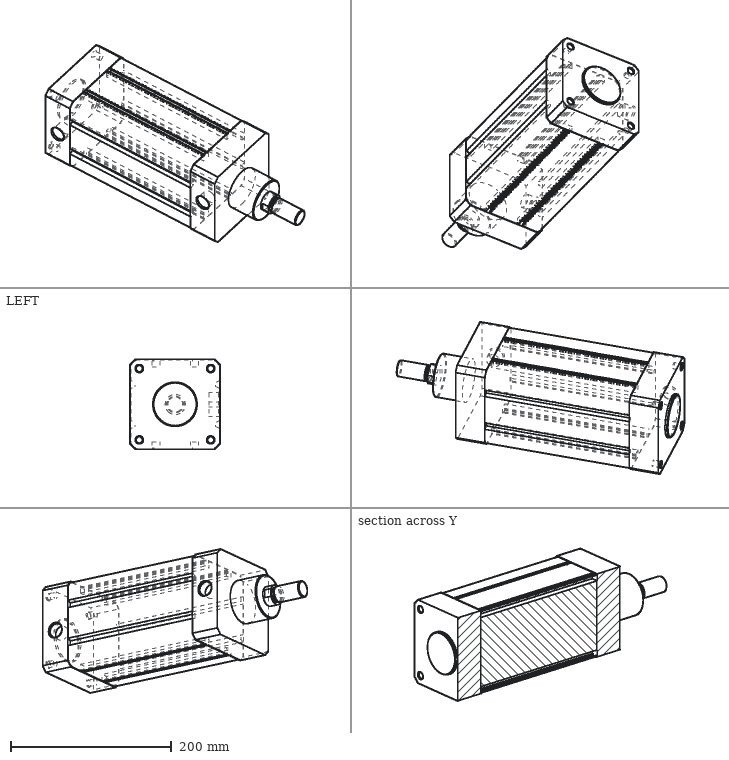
import cadquery as cq

OVERALL_LENGTH = 358.0
REAR_BOSS_LENGTH = 3.5
CAP_LENGTH = 38.0
TUBE_LENGTH = 187.5
FRONT_BOSS_LENGTH = 38.5

REAR_CAP_X = REAR_BOSS_LENGTH
TUBE_X = REAR_CAP_X + CAP_LENGTH
FRONT_CAP_X = TUBE_X + TUBE_LENGTH
FRONT_BOSS_X = FRONT_CAP_X + CAP_LENGTH
ROD_X = FRONT_BOSS_X + FRONT_BOSS_LENGTH

CAP_WIDTH = 112.0
CAP_CORNER_CHAMFER = 6.8
BOSS_DIAMETER = 55.0
BOSS_EDGE_CHAMFER = 1.0
PORT_DIAMETER = 18.0
PORT_MOUTH_DIAMETER = 20.0
PORT_MOUTH_DEPTH = 2.0
PORT_DEPTH = 14.3
PORT_OFFSET = 6.0
SCREW_SPACING = 88.8
SCREW_DIAMETER = 8.0
SCREW_MOUTH_DIAMETER = 10.0
SCREW_MOUTH_DEPTH = 1.0
SCREW_DEPTH = 10.7

TUBE_WIDTH = 110.5
TUBE_CORNER_RADIUS = 10.0
T_SLOT_OFFSET = 24.0
T_SLOT_MOUTH_WIDTH = 5.5
T_SLOT_INNER_WIDTH = 9.5
T_SLOT_LIP = 1.5
T_SLOT_DEPTH = 8.5
SIDE_GROOVE_DEPTH = 5.0
SIDE_GROOVE_INNER = 20.0
SIDE_GROOVE_OUTER = 29.7
SIDE_GROOVE_TAPER = 2.0
SIDE_GROOVE_FLOOR_INNER = SIDE_GROOVE_INNER + SIDE_GROOVE_TAPER
SIDE_GROOVE_FLOOR_OUTER = SIDE_GROOVE_OUTER - SIDE_GROOVE_TAPER

ROD_DIAMETER = 25.0
ROD_SHOULDER_LENGTH = 11.5
WRENCH_FLAT_WIDTH = 23.0
WRENCH_FLAT_START = 2.5
NECK_DIAMETER = 19.0
NECK_LENGTH = 2.5
THREAD_DIAMETER = 20.8
THREAD_LEAD_IN = 1.8
THREAD_END_CHAMFER = 1.0


def yz_plane(x):
    """Sketch plane across the axis: local x is Y, local y is Z, and the normal is +X."""
    return cq.Workplane("YZ", origin=(x, 0, 0))


def disc(x, diameter, length):
    return yz_plane(x).circle(diameter / 2).extrude(length)


def cap_block(x):
    block = yz_plane(x).rect(CAP_WIDTH, CAP_WIDTH).extrude(CAP_LENGTH)
    return block.edges("|X").chamfer(CAP_CORNER_CHAMFER)


def hole_cutter(bore, mouth, start, direction):
    """Blind hole with a tapered mouth; bore and mouth are (diameter, depth) pairs."""
    bore_diameter, bore_depth = bore
    mouth_diameter, mouth_depth = mouth
    mouth_centre = cq.Vector(*start)
    axis = cq.Vector(*direction)
    cylinder = cq.Solid.makeCylinder(bore_diameter / 2, bore_depth, mouth_centre, axis)
    cone = cq.Solid.makeCone(mouth_diameter / 2, bore_diameter / 2, mouth_depth, mouth_centre, axis)
    return cq.Workplane(obj=cylinder.fuse(cone))


def port_cutter(cap_x, z):
    """Air port entering a cap from its -Y face, midway along the cap."""
    start = (cap_x + CAP_LENGTH / 2, -CAP_WIDTH / 2, z)
    bore = (PORT_DIAMETER, PORT_DEPTH)
    mouth = (PORT_MOUTH_DIAMETER, PORT_MOUTH_DEPTH)
    return hole_cutter(bore, mouth, start, (0, 1, 0))


def screw_hole_cutter(y, z):
    """Screw hole entering the rear cap from its -X face."""
    bore = (SCREW_DIAMETER, SCREW_DEPTH)
    mouth = (SCREW_MOUTH_DIAMETER, SCREW_MOUTH_DEPTH)
    return hole_cutter(bore, mouth, (REAR_CAP_X, y, z), (1, 0, 0))


def make_rear_cap():
    boss = disc(0, BOSS_DIAMETER, REAR_BOSS_LENGTH + CAP_LENGTH)
    boss = boss.faces("<X").chamfer(BOSS_EDGE_CHAMFER)
    cap = cap_block(REAR_CAP_X).union(boss)
    cap = cap.cut(port_cutter(REAR_CAP_X, -PORT_OFFSET))
    screw_offset = SCREW_SPACING / 2
    for y in (-screw_offset, screw_offset):
        for z in (-screw_offset, screw_offset):
            cap = cap.cut(screw_hole_cutter(y, z))
    return cap


def make_front_cap():
    boss = disc(FRONT_CAP_X, BOSS_DIAMETER, CAP_LENGTH + FRONT_BOSS_LENGTH)
    boss = boss.faces(">X").chamfer(BOSS_EDGE_CHAMFER)
    cap = cap_block(FRONT_CAP_X).union(boss)
    return cap.cut(port_cutter(FRONT_CAP_X, PORT_OFFSET))


def groove_bar(y, z_top, width, depth):
    """Bar as long as the tube, centred on y, reaching down from z_top by depth."""
    return yz_plane(TUBE_X).center(y, z_top - depth / 2).rect(width, depth).extrude(TUBE_LENGTH)


def t_slot():
    """Groove in the +Z face that widens below a thin lip."""
    face_z = TUBE_WIDTH / 2
    mouth = groove_bar(T_SLOT_OFFSET, face_z, T_SLOT_MOUTH_WIDTH, T_SLOT_DEPTH)
    inner = groove_bar(T_SLOT_OFFSET, face_z - T_SLOT_LIP, T_SLOT_INNER_WIDTH, T_SLOT_DEPTH - T_SLOT_LIP)
    return mouth.union(inner)


def side_groove():
    """Groove in the -Y face that narrows towards its floor."""
    face_y = -TUBE_WIDTH / 2
    floor_y = face_y + SIDE_GROOVE_DEPTH
    outline = [
        (face_y, SIDE_GROOVE_INNER),
        (floor_y, SIDE_GROOVE_FLOOR_INNER),
        (floor_y, SIDE_GROOVE_FLOOR_OUTER),
        (face_y, SIDE_GROOVE_OUTER),
    ]
    return yz_plane(TUBE_X).polyline(outline).close().extrude(TUBE_LENGTH)


def make_tube():
    """Rounded square bar with the same two grooves on each pair of opposite faces."""
    tube = yz_plane(TUBE_X).rect(TUBE_WIDTH, TUBE_WIDTH).extrude(TUBE_LENGTH)
    tube = tube.edges("|X").fillet(TUBE_CORNER_RADIUS)
    for groove, mirror_plane in ((t_slot(), "XZ"), (side_groove(), "XY")):
        face_pair = groove.union(groove.mirror(mirror_plane))
        opposite_pair = face_pair.rotate((0, 0, 0), (1, 0, 0), 180)
        tube = tube.cut(face_pair).cut(opposite_pair)
    return tube


def rod_shoulder():
    """Full-diameter end of the rod, with wrench flats on its -Y and +Y sides."""
    collar = disc(ROD_X, ROD_DIAMETER, WRENCH_FLAT_START)
    flats_x = ROD_X + WRENCH_FLAT_START
    flats_length = ROD_SHOULDER_LENGTH - WRENCH_FLAT_START
    flats_bar = yz_plane(flats_x).rect(WRENCH_FLAT_WIDTH, ROD_DIAMETER).extrude(flats_length)
    return collar.union(disc(flats_x, ROD_DIAMETER, flats_length).intersect(flats_bar))


def rod_thread():
    """Neck that widens through a cone to the thread diameter."""
    neck_radius = NECK_DIAMETER / 2
    thread_radius = THREAD_DIAMETER / 2
    neck_x = ROD_X + ROD_SHOULDER_LENGTH
    cone_x = neck_x + NECK_LENGTH
    half_profile = [
        (neck_x, 0),
        (neck_x, neck_radius),
        (cone_x, neck_radius),
        (cone_x + THREAD_LEAD_IN, thread_radius),
        (OVERALL_LENGTH - THREAD_END_CHAMFER, thread_radius),
        (OVERALL_LENGTH, thread_radius - THREAD_END_CHAMFER),
        (OVERALL_LENGTH, 0),
    ]
    return cq.Workplane("XY").polyline(half_profile).close().revolve(360, (0, 0, 0), (1, 0, 0))


def make_rod():
    return rod_shoulder().union(rod_thread())


rear_cap = make_rear_cap()
tube = make_tube()
front_cap = make_front_cap()
rod = make_rod()

result = cq.Compound.makeCompound([rear_cap.val(), tube.val(), front_cap.val(), rod.val()])